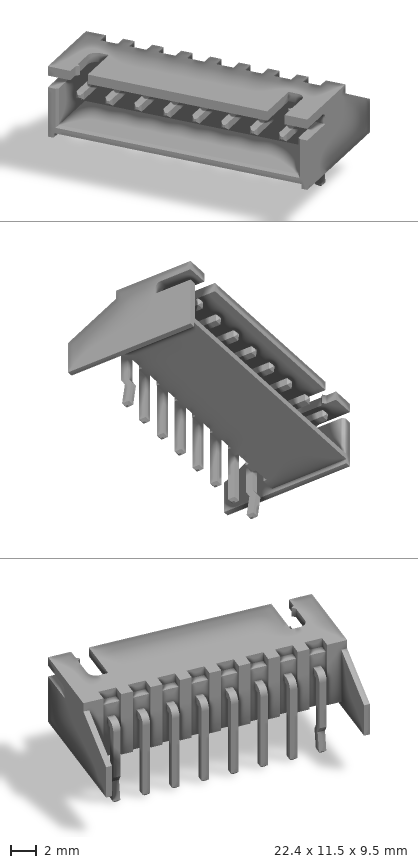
import cadquery as cq


width = 22.4
plate_depth = 11.5
body_depth = 7.0
housing_height = 6.1
foot_height = 0.4
plate_thickness = 0.5

slope_top_drop = 0.78
slope_end_drop = 3.23

lid_thickness = 0.8
side_wall = 0.85
cavity_depth = 5.0
cavity_floor_z = 1.1
mouth_chamfer = 0.2
cavity_top_z = housing_height - lid_thickness

side_slot_depth = 3.3
side_slot_height = 1.0
side_slot_radius = 0.5

lid_slot_inset = 1.95
lid_slot_width = 1.5
lid_slot_depth = 3.88
lid_slot_radius = 0.75
nub_y = 1.15
nub_reach = 0.27
nub_half_length = 0.22

pin_count = 8
pin_span = 17.5
pin_pitch = pin_span / (pin_count - 1)
pin_size = 0.63
pin_tip_chamfer = 0.2
pin_tip_y = 0.52
pin_rear_y = 7.93
bend_radius = 0.75
pin_axis_z = 3.76
pin_bottom_z = -3.4
pin_front_y = pin_rear_y - pin_size
pin_top_z = pin_axis_z + pin_size / 2
pin_under_z = pin_axis_z - pin_size / 2

kink_start_z = -0.92
kink_peak_z = -1.48
kink_offset = 0.34
kink_end_offset = 0.05

notch_width = 1.5
notch_front_y = 5.98
notch_step_y = 6.7
notch_step_z = cavity_top_z

pin_positions = [(i - (pin_count - 1) / 2) * pin_pitch for i in range(pin_count)]


def block(x_min, x_max, y_min, y_max, z_min, z_max):
    """Axis-aligned box between two corners."""
    size = (x_max - x_min, y_max - y_min, z_max - z_min)
    return cq.Workplane("XY").box(*size, centered=False).translate((x_min, y_min, z_min))


def extrude_along_x(profile, x_min, x_max):
    """Extrude a closed YZ outline between two X positions."""
    return profile.extrude(x_max - x_min).translate((x_min, 0, 0))


def side_plate(x_min):
    profile = (
        cq.Workplane("YZ")
        .moveTo(0, 0)
        .lineTo(plate_depth, 0)
        .lineTo(plate_depth, housing_height - slope_end_drop)
        .lineTo(body_depth, housing_height - slope_top_drop)
        .lineTo(body_depth, housing_height)
        .lineTo(0, housing_height)
        .close()
    )
    return extrude_along_x(profile, x_min, x_min + plate_thickness)


def cavity():
    """Plug cavity with a chamfered mouth on the floor and both side walls."""
    half = width / 2 - side_wall
    pocket = block(-half, half, 0, cavity_depth, cavity_floor_z, cavity_top_z)
    mouth_half = half + mouth_chamfer
    mouth_floor_z = cavity_floor_z - mouth_chamfer
    taper_height = 2 * (cavity_top_z - mouth_floor_z)
    mouth = (
        cq.Workplane("XZ")
        .center(0, mouth_floor_z + taper_height / 2)
        .rect(2 * mouth_half, taper_height)
        .extrude(-mouth_chamfer, taper=45)
    )
    trim = block(-mouth_half, mouth_half, 0, mouth_chamfer, 0, cavity_top_z)
    return pocket.union(mouth.intersect(trim))


def side_slots():
    """Cut through both side walls, rounded at the upper rear corner."""
    slot_bottom_z = cavity_top_z - side_slot_height
    profile = (
        cq.Workplane("YZ")
        .moveTo(0, slot_bottom_z)
        .lineTo(side_slot_depth, slot_bottom_z)
        .lineTo(side_slot_depth, cavity_top_z - side_slot_radius)
        .radiusArc((side_slot_depth - side_slot_radius, cavity_top_z), -side_slot_radius)
        .lineTo(0, cavity_top_z)
        .close()
    )
    return extrude_along_x(profile, -width / 2, width / 2)


def lid_slot():
    """Left lid slot: rounded outer rear corner and a nub on the outer edge."""
    outer_x = -width / 2 + lid_slot_inset
    inner_x = outer_x + lid_slot_width
    return (
        cq.Workplane("XY")
        .workplane(offset=cavity_top_z)
        .moveTo(outer_x, 0)
        .lineTo(outer_x, nub_y - nub_half_length)
        .lineTo(outer_x + nub_reach, nub_y)
        .lineTo(outer_x, nub_y + nub_half_length)
        .lineTo(outer_x, lid_slot_depth - lid_slot_radius)
        .radiusArc((outer_x + lid_slot_radius, lid_slot_depth), lid_slot_radius)
        .lineTo(inner_x, lid_slot_depth)
        .lineTo(inner_x, 0)
        .close()
        .extrude(lid_thickness)
    )


def rear_notch(x):
    """Shallow notch through the lid, opening into a full-height groove behind it."""
    x_min = x - notch_width / 2
    x_max = x + notch_width / 2
    upper = block(x_min, x_max, notch_front_y, body_depth, notch_step_z, housing_height)
    groove = block(x_min, x_max, notch_step_y, body_depth, 0, housing_height)
    return upper.union(groove)


def housing():
    body = block(-width / 2, width / 2, 0, body_depth, foot_height, housing_height)
    for plate_x in (-width / 2, width / 2 - plate_thickness):
        body = body.union(side_plate(plate_x))
    left_slot = lid_slot()
    body = body.cut(cavity()).cut(side_slots())
    body = body.cut(left_slot).cut(left_slot.mirror("YZ"))
    for x in pin_positions:
        body = body.cut(rear_notch(x))
    return body


def pin(x, kinked):
    """Square pin bent down behind the body, with chamfered tips."""
    profile = cq.Workplane("YZ").moveTo(pin_tip_y, pin_under_z).lineTo(pin_front_y, pin_under_z)
    end_offset = kink_end_offset if kinked else 0
    if kinked:
        profile = profile.lineTo(pin_front_y, kink_start_z).lineTo(pin_front_y - kink_offset, kink_peak_z)
    profile = profile.lineTo(pin_front_y - end_offset, pin_bottom_z)
    profile = profile.lineTo(pin_rear_y - end_offset, pin_bottom_z)
    if kinked:
        profile = profile.lineTo(pin_rear_y - kink_offset, kink_peak_z).lineTo(pin_rear_y, kink_start_z)
    profile = (
        profile.lineTo(pin_rear_y, pin_top_z - bend_radius)
        .radiusArc((pin_rear_y - bend_radius, pin_top_z), -bend_radius)
        .lineTo(pin_tip_y, pin_top_z)
        .close()
    )
    bent = extrude_along_x(profile, x - pin_size / 2, x + pin_size / 2)
    return bent.faces("<Y").chamfer(pin_tip_chamfer).faces("<Z").chamfer(pin_tip_chamfer)


result = housing()
for x in pin_positions:
    is_outermost = x in (pin_positions[0], pin_positions[-1])
    result = result.union(pin(x, is_outermost))